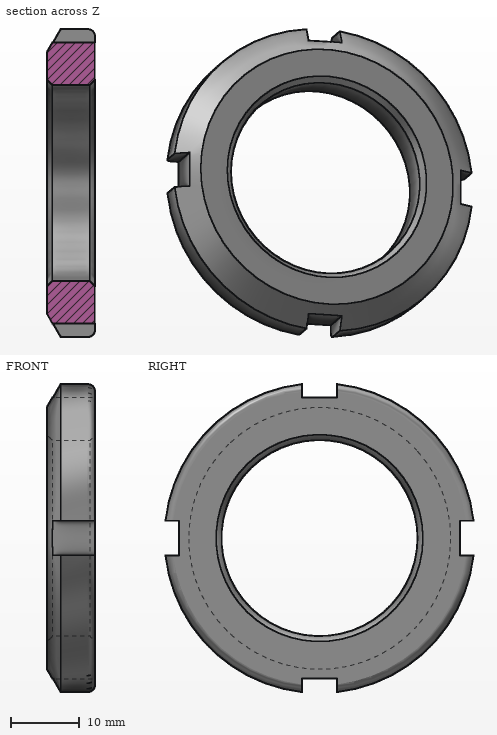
import cadquery as cq
import math

span = 44.7
width = 7.0
slot_width = 5.0
slot_depth = 2.1
outer_radius = math.hypot(span / 2, slot_width / 2)
face_radius = 38.0 / 2
cone_angle = 30.0
bore_radius = 28.4 / 2
bore_mouth_radius = 30.0 / 2
back_round = 1.1
slot_count = 4

cone_length = (outer_radius - face_radius) * math.tan(math.radians(cone_angle))
bore_chamfer = bore_mouth_radius - bore_radius


def ring():
    """Revolved ring: front cone, rounded back edge and chamfered bore."""
    round_middle = back_round * math.sin(math.radians(45))
    profile = (
        cq.Workplane("XY")
        .moveTo(0, bore_mouth_radius)
        .lineTo(0, face_radius)
        .lineTo(cone_length, outer_radius)
        .lineTo(width - back_round, outer_radius)
        .threePointArc(
            (width - back_round + round_middle, outer_radius - back_round + round_middle),
            (width, outer_radius - back_round),
        )
        .lineTo(width, bore_mouth_radius)
        .lineTo(width - bore_chamfer, bore_radius)
        .lineTo(bore_chamfer, bore_radius)
        .close()
    )
    return profile.revolve(360, (0, 0, 0), (1, 0, 0))


def slot(index):
    """Spanner slot, running through the full width of the rim."""
    floor_radius = outer_radius - slot_depth
    cutter = cq.Workplane("XY").box(width, slot_width, 2 * slot_depth, centered=(False, True, False))
    cutter = cutter.translate((0, 0, floor_radius))
    return cutter.rotate((0, 0, 0), (1, 0, 0), index * 360 / slot_count)


result = ring()
for index in range(slot_count):
    result = result.cut(slot(index))